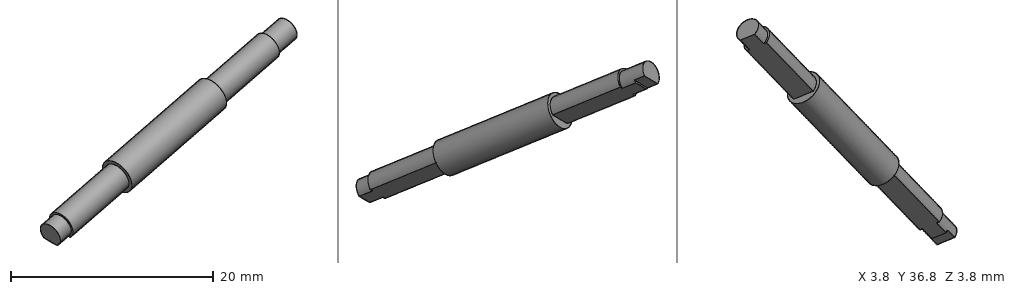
import cadquery as cq

total_length = 36.8
body_diameter = 3.8
shank_diameter = 3.0
tip_diameter = 2.58

shank_length = 8.7
front_tip_length = 1.7
rear_tip_length = 3.0
body_length = total_length - front_tip_length - rear_tip_length - 2 * shank_length

flat_depth = 1.0
end_flat_depth = 0.77
end_flat_length = 1.3


def cylinder(diameter, start, length):
    """Cylinder along +Y, starting at Y = start."""
    return cq.Workplane("XZ", origin=(0, start, 0)).circle(diameter / 2).extrude(-length)


def below_flat(depth, start, length):
    """Block of material lying below a flat at Z = -depth."""
    return cq.Workplane("XY").box(
        body_diameter, length, body_diameter, centered=(True, False, False)
    ).translate((0, start, -depth - body_diameter))


front_end = -total_length / 2
rear_end = total_length / 2
body_start = front_end + front_tip_length + shank_length

tip_core = cylinder(tip_diameter, front_end, total_length)
shanks = cylinder(shank_diameter, front_end + front_tip_length, body_length + 2 * shank_length)
flattened_shaft = tip_core.union(shanks).cut(below_flat(flat_depth, front_end, total_length))

flattened_shaft = flattened_shaft.cut(
    below_flat(end_flat_depth, rear_end - end_flat_length, end_flat_length)
)

result = flattened_shaft.union(cylinder(body_diameter, body_start, body_length))